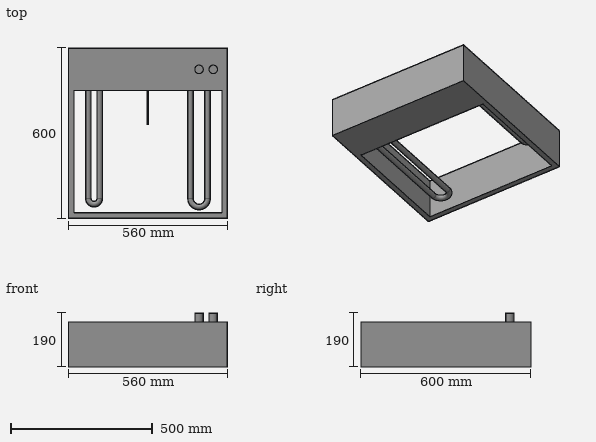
import cadquery as cq

WIDTH = 560.0
DEPTH = 600.0
HEIGHT = 160.0
WALL = 20.0
REAR_DEPTH = 150.0

KNOB_DIAMETER = 30.0
KNOB_HEIGHT = 30.0
KNOB_X_POSITIONS = (180.0, 230.0)
KNOB_INSET = 75.0

TUBE_DIAMETER = 20.0
TUBE_STRAIGHT = 380.0
LEFT_LOOP_X = -190.0
LEFT_LOOP_PITCH = 40.0
LEFT_LOOP_Z = 120.0
RIGHT_LOOP_X = 180.0
RIGHT_LOOP_PITCH = 60.0
RIGHT_LOOP_Z = 40.0
PROBE_DIAMETER = 5.0
PROBE_LENGTH = 120.0
PROBE_Z = 140.0

EMBED = 5.0

REAR_FACE_Y = DEPTH / 2 - REAR_DEPTH


def make_housing():
    """Rectangular block with an open well between the rear block and three walls."""
    well_width = WIDTH - 2 * WALL
    well_depth = DEPTH - WALL - REAR_DEPTH
    well_y = REAR_FACE_Y - well_depth / 2
    block = cq.Workplane("XY").box(WIDTH, DEPTH, HEIGHT, centered=(True, True, False))
    well = (
        cq.Workplane("XY")
        .center(0, well_y)
        .box(well_width, well_depth, HEIGHT, centered=(True, True, False))
    )
    return block.cut(well)


def make_knob(x):
    """Round knob standing on the rear block."""
    return (
        cq.Workplane("XY", origin=(x, DEPTH / 2 - KNOB_INSET, HEIGHT))
        .circle(KNOB_DIAMETER / 2)
        .extrude(KNOB_HEIGHT)
    )


def make_tube_loop(x, z, pitch):
    """Horizontal U-shaped tube with both legs leaving the rear block."""
    left = x - pitch / 2
    right = x + pitch / 2
    start_y = REAR_FACE_Y + EMBED
    bend_y = REAR_FACE_Y - TUBE_STRAIGHT
    path = (
        cq.Workplane("XY", origin=(0, 0, z))
        .moveTo(left, start_y)
        .lineTo(left, bend_y)
        .threePointArc((x, bend_y - pitch / 2), (right, bend_y))
        .lineTo(right, start_y)
    )
    return (
        cq.Workplane("XZ", origin=(left, start_y, z))
        .circle(TUBE_DIAMETER / 2)
        .sweep(path)
    )


def make_probe():
    """Thin straight rod leaving the middle of the rear block."""
    return (
        cq.Workplane("XZ", origin=(0, REAR_FACE_Y + EMBED, PROBE_Z))
        .circle(PROBE_DIAMETER / 2)
        .extrude(EMBED + PROBE_LENGTH)
    )


result = make_housing()
for knob_x in KNOB_X_POSITIONS:
    result = result.union(make_knob(knob_x))
result = result.union(make_tube_loop(LEFT_LOOP_X, LEFT_LOOP_Z, LEFT_LOOP_PITCH))
result = result.union(make_tube_loop(RIGHT_LOOP_X, RIGHT_LOOP_Z, RIGHT_LOOP_PITCH))
result = result.union(make_probe())